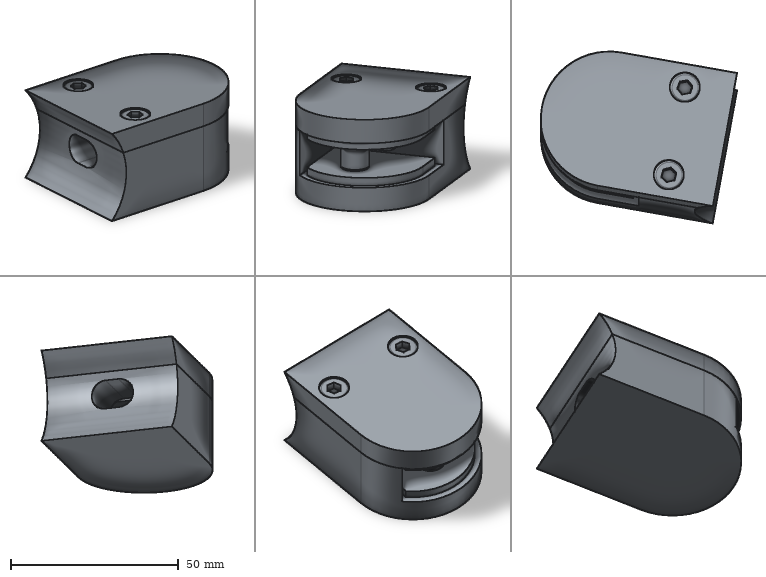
import cadquery as cq
import math


length = 55.5
width = 41.0
height = 28.5
round_radius = width / 2
round_center_y = length - round_radius

tube_radius = 21.2
tube_center_y = -math.sqrt(tube_radius**2 - (height / 2) ** 2)

jaw_thickness = 7.4
cover_bottom = height - jaw_thickness
gasket_thickness = 2.5
glass_gap = height - 2 * jaw_thickness - 2 * gasket_thickness
lower_gasket_bottom = jaw_thickness
upper_gasket_bottom = cover_bottom - gasket_thickness

pocket_front_y = 22.5
side_wall_thickness = 5.0
side_wall_x = width / 2 - side_wall_thickness
gasket_inset = 2.0

slot_width = 13.05
slot_height = 8.95

pin_diameter = 8.6
pin_y = 43.0
pin_end_diameter = 7.65
pin_end_length = 0.5

screw_x = 13.5
screw_y = 14.6
head_diameter = 9.0
head_height = 5.0
head_recess = 0.25
head_top = height - head_recess
head_bottom = head_top - head_height
head_fillet = 0.6
shank_diameter = 5.0
shank_length = 16.0
socket_sides = 6
socket_across_flats = 4.0
socket_depth = 2.5
left_socket_turn = -4.0
right_socket_turn = -10.0


def d_block(bottom, thickness):
    """D-shaped block with a straight front and a round back."""
    return (
        cq.Workplane("XY", origin=(0, 0, bottom))
        .moveTo(-round_radius, 0)
        .lineTo(round_radius, 0)
        .lineTo(round_radius, round_center_y)
        .threePointArc((0, length), (-round_radius, round_center_y))
        .close()
        .extrude(thickness)
    )


def tube_cutter():
    """Cylinder along X that hollows the front face."""
    return (
        cq.Workplane("YZ")
        .center(tube_center_y, height / 2)
        .circle(tube_radius)
        .extrude(width, both=True)
    )


def pocket_cutter():
    """Box that opens the space between the jaws towards -X and +Y."""
    return (
        cq.Workplane("XY")
        .box(width + side_wall_x, length, cover_bottom - jaw_thickness, centered=False)
        .translate((-width, pocket_front_y, jaw_thickness))
    )


def slot_cutter():
    """Rounded slot through the front wall."""
    return (
        cq.Workplane("XZ", origin=(0, 0, height / 2))
        .slot2D(slot_width, slot_height)
        .extrude(-pocket_front_y)
    )


def screw_blank(x, head_length):
    """Plain head and shank, stacked on the shared seat plane."""
    seat = cq.Workplane("XY", origin=(x, screw_y, head_bottom))
    head = seat.circle(head_diameter / 2).extrude(head_length)
    shank = seat.circle(shank_diameter / 2).extrude(-shank_length)
    return head.union(shank)


def drill_screw_holes(body):
    """Cut both counterbored screw holes, open to the top face."""
    for x in (-screw_x, screw_x):
        body = body.cut(screw_blank(x, height - head_bottom))
    return body


def make_screw(x, socket_turn):
    """Screw with a rounded head edge and a hexagon socket."""
    across_corners = socket_across_flats / math.cos(math.pi / socket_sides)
    socket = (
        cq.Workplane("XY", origin=(x, screw_y, head_top))
        .transformed(rotate=(0, 0, socket_turn))
        .polygon(socket_sides, across_corners)
        .extrude(-socket_depth)
    )
    return screw_blank(x, head_height).faces(">Z").edges().fillet(head_fillet).cut(socket)


def make_base():
    """Lower jaw with the front wall and the side wall."""
    base = d_block(0, cover_bottom).cut(tube_cutter()).cut(pocket_cutter()).cut(slot_cutter())
    return drill_screw_holes(base)


def make_cover():
    """Upper jaw, counterbored for the screws."""
    cover = d_block(cover_bottom, jaw_thickness).cut(tube_cutter())
    return drill_screw_holes(cover)


def make_gasket(bottom):
    """Flat pad set in from the pocket walls and from the round edge by the same amount."""
    radius = round_radius - gasket_inset
    front_y = pocket_front_y + gasket_inset
    right_x = side_wall_x - gasket_inset
    arc_end_y = round_center_y + math.sqrt(radius**2 - right_x**2)
    return (
        cq.Workplane("XY", origin=(0, 0, bottom))
        .moveTo(-radius, front_y)
        .lineTo(right_x, front_y)
        .lineTo(right_x, arc_end_y)
        .threePointArc((0, round_center_y + radius), (-radius, round_center_y))
        .close()
        .extrude(gasket_thickness)
    )


def make_pin():
    """Pin with a narrower stub at each end that spans the gap between the gaskets."""
    bottom = lower_gasket_bottom + gasket_thickness
    core = cq.Workplane("XY", origin=(0, pin_y, bottom)).circle(pin_end_diameter / 2).extrude(glass_gap)
    barrel = (
        cq.Workplane("XY", origin=(0, pin_y, bottom + pin_end_length))
        .circle(pin_diameter / 2)
        .extrude(glass_gap - 2 * pin_end_length)
    )
    return core.union(barrel)


base = make_base()
cover = make_cover()
gaskets = [make_gasket(bottom) for bottom in (lower_gasket_bottom, upper_gasket_bottom)]
pin = make_pin()
screws = [make_screw(x, turn) for x, turn in ((-screw_x, left_socket_turn), (screw_x, right_socket_turn))]

result = cq.Compound.makeCompound(
    [
        base.val(),
        cover.val(),
        *[gasket.val() for gasket in gaskets],
        pin.val(),
        *[screw.val() for screw in screws],
    ]
)